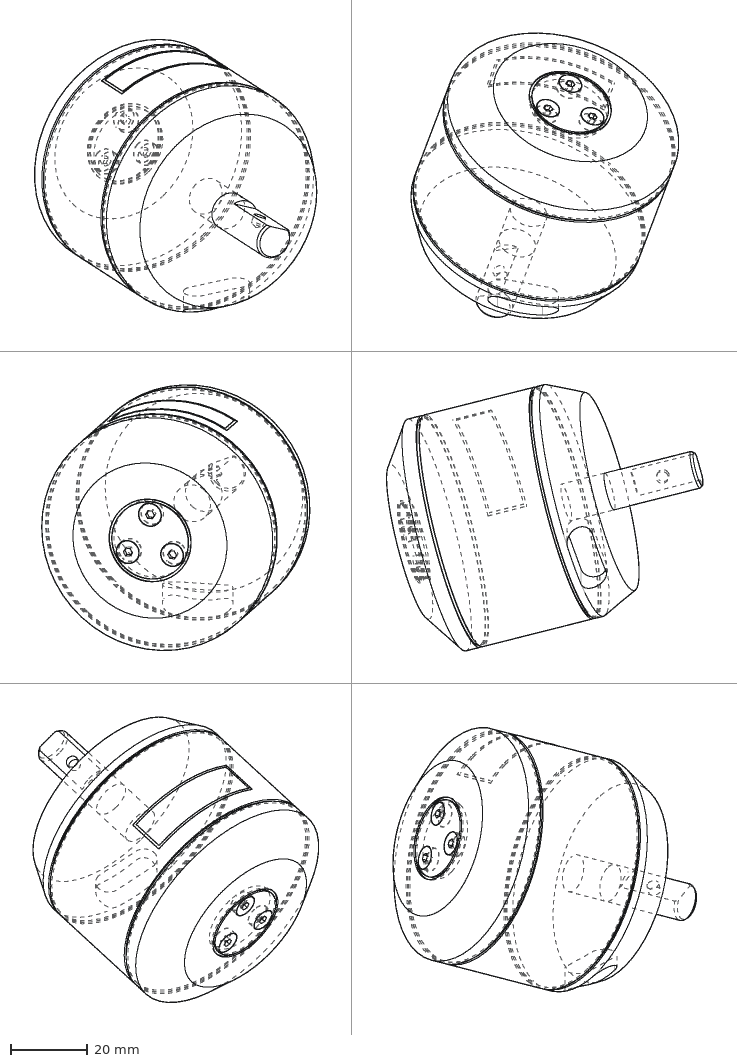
import cadquery as cq
import math


total_length = 79.3
body_diameter = 63.0
front_face_diameter = 41.95
front_cone_length = 7.45
front_cap_length = 11.35
rear_face_diameter = 53.8
rear_cone_start = 45.3
rear_face_x = 54.95

groove_depth = 0.55
front_groove_width = 0.8
rear_groove_width = 0.6
can_end_x = 43.05

border_start_x = 16.8
border_end_x = 27.4
border_span = 32.1
border_centre_y = -0.4
border_line_width = 0.6
border_height = 0.1

hub_diameter = 20.85
hub_thickness = 2.4
hub_groove_diameter = 22.3
hub_groove_depth = 0.5

screw_count = 3
screw_circle_radius = 7.0
screw_diameter = 6.0
screw_hole_diameter = 6.3
socket_sides = 6
socket_corner_diameter = 2.4
socket_depth = 1.6

shaft_diameter = 10.0
shaft_end_diameter = 9.0
shaft_chamfer_length = 0.7
flat_start_x = 61.3
flat_distance = 3.5
flat_tilt = 22.5
dimple_x = 69.3
dimple_diameter = 3.2
dimple_depth = 2.3
dimple_tip_angle = 118.0

cable_slot_length = 19.0
cable_slot_width = 6.8
cable_slot_floor_z = -23.8

body_radius = body_diameter / 2
front_face_radius = front_face_diameter / 2
rear_face_radius = rear_face_diameter / 2
groove_radius = body_radius - groove_depth
shaft_radius = shaft_diameter / 2
shaft_end_radius = shaft_end_diameter / 2


def turned(profile):
    """Revolve a closed (x, radius) outline about the X axis."""
    return cq.Workplane("XY").polyline(profile).close().revolve(360, (0, 0, 0), (1, 0, 0))


def rod(diameter, start_x, end_x):
    """Solid cylinder on the X axis."""
    return cq.Workplane("YZ", origin=(start_x, 0, 0)).circle(diameter / 2).extrude(end_x - start_x)


def screw_places():
    """(y, z) centres of the hub screws, the first one straight up."""
    angles = [math.radians(90 + 360 / screw_count * i) for i in range(screw_count)]
    return [(screw_circle_radius * math.cos(a), screw_circle_radius * math.sin(a)) for a in angles]


def make_front_cap():
    cap = turned([
        (0, 0),
        (0, front_face_radius),
        (front_cone_length, body_radius),
        (front_cap_length, body_radius),
        (front_cap_length, 0),
    ])
    hub_recess = rod(hub_diameter, 0, hub_thickness)
    hub_groove = rod(hub_groove_diameter, 0, hub_groove_depth)
    return cap.cut(hub_recess).cut(hub_groove)


def make_border():
    """Thin rectangular frame wrapped onto the top of the can."""
    length = border_end_x - border_start_x
    centre_x = border_start_x + length / 2
    frame = (
        cq.Workplane("XY", origin=(centre_x, border_centre_y, 0))
        .rect(length, border_span)
        .rect(length - 2 * border_line_width, border_span - 2 * border_line_width)
        .extrude(body_diameter)
    )
    outer_skin = rod(body_diameter + 2 * border_height, border_start_x, border_end_x)
    inner_skin = rod(2 * groove_radius, border_start_x, border_end_x)
    return frame.intersect(outer_skin.cut(inner_skin))


def make_can():
    front_groove_end = front_cap_length + front_groove_width
    rear_groove_start = can_end_x - rear_groove_width
    can = turned([
        (front_cap_length, 0),
        (front_cap_length, groove_radius),
        (front_groove_end, groove_radius),
        (front_groove_end, body_radius),
        (rear_groove_start, body_radius),
        (rear_groove_start, groove_radius),
        (can_end_x, groove_radius),
        (can_end_x, 0),
    ])
    return can.union(make_border())


def make_rear_cap():
    cap = turned([
        (can_end_x, 0),
        (can_end_x, body_radius),
        (rear_cone_start, body_radius),
        (rear_face_x, rear_face_radius),
        (rear_face_x, 0),
    ])
    shaft_bore = rod(shaft_diameter, can_end_x, rear_face_x)
    slot_x = rear_cone_start + cable_slot_width / 2
    cable_slot = (
        cq.Workplane("XY", origin=(slot_x, 0, cable_slot_floor_z))
        .slot2D(cable_slot_length, cable_slot_width, 90)
        .extrude(-body_radius)
    )
    return cap.cut(shaft_bore).cut(cable_slot)


def make_hub_disc():
    disc = rod(hub_diameter, 0, hub_thickness)
    screw_holes = (
        cq.Workplane("YZ").pushPoints(screw_places())
        .circle(screw_hole_diameter / 2).extrude(hub_thickness)
    )
    return disc.cut(screw_holes)


def make_hub_screw(y, z):
    """Screw head flush with the front face, with a hexagon socket."""
    head = (
        cq.Workplane("YZ", origin=(0, y, z))
        .circle(screw_diameter / 2).extrude(hub_thickness)
    )
    socket = (
        cq.Workplane("YZ", origin=(0, y, z))
        .polygon(socket_sides, socket_corner_diameter).extrude(socket_depth)
    )
    return head.cut(socket)


def make_shaft():
    chamfer_x = total_length - shaft_chamfer_length
    shaft = turned([
        (can_end_x, 0),
        (can_end_x, shaft_radius),
        (chamfer_x, shaft_radius),
        (total_length, shaft_end_radius),
        (total_length, 0),
    ])

    flat_length = total_length - flat_start_x
    flat_cut = (
        cq.Workplane("XY", origin=(flat_start_x + flat_length / 2, 0, flat_distance))
        .rect(flat_length, shaft_diameter)
        .extrude(shaft_radius)
    )
    tip_depth = dimple_diameter / 2 / math.tan(math.radians(dimple_tip_angle / 2))
    floor_z = flat_distance - dimple_depth
    dimple = (
        cq.Workplane("XZ", origin=(dimple_x, 0, 0))
        .polyline([
            (0, flat_distance),
            (dimple_diameter / 2, flat_distance),
            (dimple_diameter / 2, floor_z),
            (0, floor_z - tip_depth),
        ])
        .close()
        .revolve(360, (0, 0, 0), (0, 1, 0))
    )
    tilted_cuts = flat_cut.union(dimple).rotate((0, 0, 0), (1, 0, 0), -flat_tilt)
    return shaft.cut(tilted_cuts)


front_cap = make_front_cap()
can = make_can()
rear_cap = make_rear_cap()
hub_disc = make_hub_disc()
hub_screws = [make_hub_screw(y, z).val() for y, z in screw_places()]
shaft = make_shaft()

result = cq.Compound.makeCompound([
    front_cap.val(),
    can.val(),
    rear_cap.val(),
    hub_disc.val(),
    *hub_screws,
    shaft.val(),
])